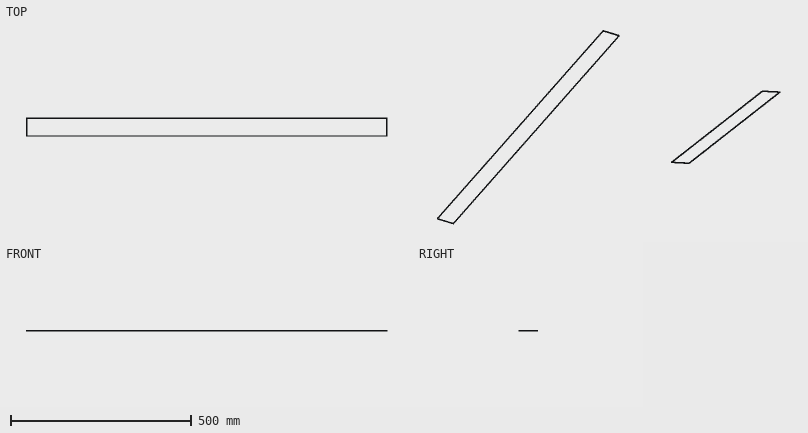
import cadquery as cq

length = 1000.0
width = 50.0
thickness = 1.5

result = cq.Workplane("XY").box(length, width, thickness, centered=(True, True, False))